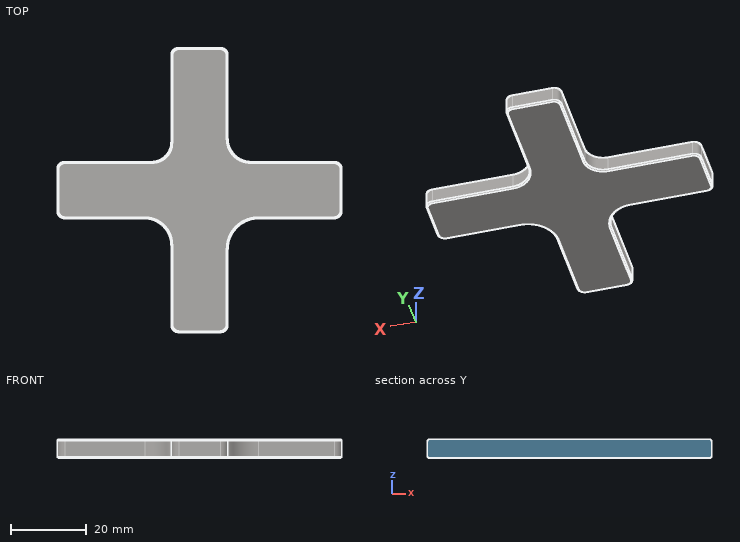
import cadquery as cq

SPAN = 75.0
ARM_WIDTH = 15.0
THICKNESS = 5.0
TIP_RADIUS = 2.0
EDGE_CHAMFER = 0.4

INNER_RADII = {
    (-1, 1): 5.0,
    (1, 1): 6.0,
    (-1, -1): 7.0,
    (1, -1): 8.0,
}


def make_arms():
    """Two crossing bars with rounded tips, centred on the origin."""
    bar = cq.Workplane("XY").box(SPAN, ARM_WIDTH, THICKNESS).edges("|Z").fillet(TIP_RADIUS)
    crossing_bar = bar.rotate((0, 0, 0), (0, 0, 1), 90)
    return bar.union(crossing_bar)


def round_inner_corner(body, direction, radius):
    """Round the vertical edge where two neighbouring arms meet."""
    corner_x = direction[0] * ARM_WIDTH / 2
    corner_y = direction[1] * ARM_WIDTH / 2
    corner_edge = cq.selectors.NearestToPointSelector((corner_x, corner_y, 0))
    return body.edges("|Z").edges(corner_edge).fillet(radius)


cross = make_arms()
for corner_direction, corner_radius in INNER_RADII.items():
    cross = round_inner_corner(cross, corner_direction, corner_radius)

result = cross.faces("|Z").edges().chamfer(EDGE_CHAMFER)